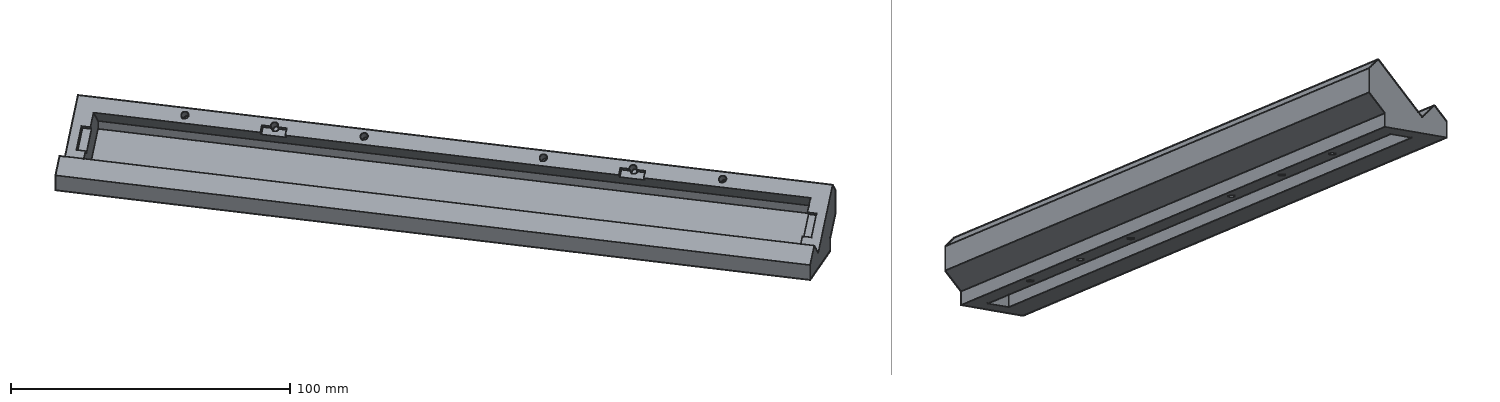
import cadquery as cq
import math

LENGTH = 281.0
DEPTH = 33.2
HEIGHT = 24.7

FRONT_HEIGHT = 6.0
LIP_RUN = 5.3
TOP_CHAMFER = 4.0
FOOT_DEPTH = 26.5
REAR_LOW = 11.8

WINDOW_LENGTH = 267.0
WINDOW_TOP = 20.5
REAR_WALL = 2.2

FLOOR_EXIT = 19.5

NOTCH_LENGTH = 9.3
NOTCH_DEPTH = 2.0
TOP_NOTCH_REACH = 2.8
END_NOTCH_REACH = 3.5

HOLE_PITCH = WINDOW_LENGTH / 8
HOLE_STEPS = (-3, -2, -1, 1, 2, 3)
FACE_HOLE_DIAMETER = 2.7
FACE_HOLE_DEPTH = 4.2
FACE_HOLE_INSET = 2.8
FOOT_HOLE_DIAMETER = 2.5
FOOT_HOLE_DEPTH = 2.5
FOOT_HOLE_Y = (FLOOR_EXIT + FOOT_DEPTH) / 2

TOP_Y = DEPTH - TOP_CHAMFER
LIP_HEIGHT = FRONT_HEIGHT + LIP_RUN
FACE_OFFSET = TOP_Y - HEIGHT
LIP_SUM = LIP_RUN + LIP_HEIGHT
VALLEY_Y = (LIP_SUM + FACE_OFFSET) / 2
VALLEY_Z = VALLEY_Y - FACE_OFFSET
WINDOW_TOP_Y = WINDOW_TOP + FACE_OFFSET
CAVITY_Y = DEPTH - REAR_WALL
CAVITY_WALL_HIGH = WINDOW_TOP + WINDOW_TOP_Y - CAVITY_Y
CAVITY_WALL_LOW = CAVITY_Y - FLOOR_EXIT

ROOT2 = math.sqrt(2)
FACE_LENGTH = (HEIGHT - VALLEY_Z) * ROOT2
WINDOW_WIDTH = (WINDOW_TOP - VALLEY_Z) * ROOT2


def extrude_section(points, length):
    """Extrude a (y, z) outline along X, centred on x = 0."""
    return cq.Workplane("YZ").polyline(points).close().extrude(length / 2, both=True)


def face_plane():
    """Display face: local x along X, local y up the slope from the valley, normal outwards."""
    return cq.Plane(origin=(0, VALLEY_Y, VALLEY_Z), xDir=(1, 0, 0), normal=(0, -1, 1))


def body():
    return extrude_section(
        [
            (0, 0),
            (0, FRONT_HEIGHT),
            (LIP_RUN, LIP_HEIGHT),
            (VALLEY_Y, VALLEY_Z),
            (TOP_Y, HEIGHT),
            (DEPTH, HEIGHT - TOP_CHAMFER),
            (DEPTH, REAR_LOW),
            (FOOT_DEPTH, REAR_LOW - (DEPTH - FOOT_DEPTH)),
            (FOOT_DEPTH, 0),
        ],
        LENGTH,
    )


def cavity():
    """Window, the space behind it and the slot it leaves in the underside."""
    return extrude_section(
        [
            (VALLEY_Y, 0),
            (VALLEY_Y, VALLEY_Z),
            (WINDOW_TOP_Y, WINDOW_TOP),
            (CAVITY_Y, CAVITY_WALL_HIGH),
            (CAVITY_Y, CAVITY_WALL_LOW),
            (FLOOR_EXIT, 0),
        ],
        WINDOW_LENGTH,
    )


def notches():
    """Two notches in the window's top edge and one at each end."""
    top = (
        cq.Workplane(face_plane())
        .pushPoints([(side * 2 * HOLE_PITCH, WINDOW_WIDTH) for side in (-1, 1)])
        .rect(NOTCH_LENGTH, 2 * TOP_NOTCH_REACH)
        .extrude(-NOTCH_DEPTH)
    )
    ends = (
        cq.Workplane(face_plane())
        .pushPoints([(side * WINDOW_LENGTH / 2, WINDOW_WIDTH / 2) for side in (-1, 1)])
        .rect(2 * END_NOTCH_REACH, NOTCH_LENGTH)
        .extrude(-NOTCH_DEPTH)
    )
    return top.union(ends)


def hole_row(plane, offset, diameter, depth):
    """Row of bores along X, running from a plane along its normal, or into it if depth is negative."""
    return (
        cq.Workplane(plane)
        .pushPoints([(step * HOLE_PITCH, offset) for step in HOLE_STEPS])
        .circle(diameter / 2)
        .extrude(depth)
    )


def face_holes():
    """Blind bores square to the display face, just below its top edge."""
    return hole_row(face_plane(), FACE_LENGTH - FACE_HOLE_INSET, FACE_HOLE_DIAMETER, -FACE_HOLE_DEPTH)


def foot_holes():
    """Upright bores in the underside that leave small openings in the cavity floor."""
    return hole_row(cq.Plane.XY(), FOOT_HOLE_Y, FOOT_HOLE_DIAMETER, FOOT_HOLE_DEPTH)


result = body().cut(cavity()).cut(notches()).cut(face_holes()).cut(foot_holes())